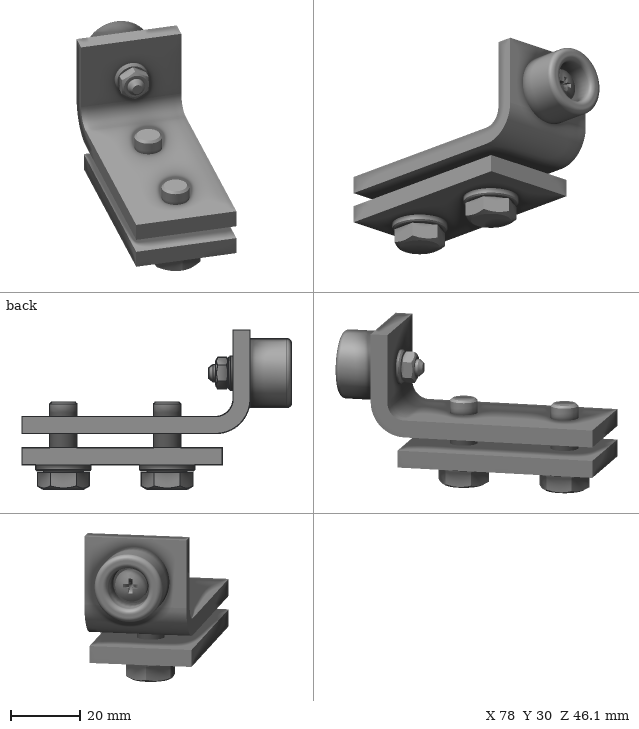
import cadquery as cq
import math

plate_thickness = 5.0
width = 30.0
end_x = 66.0
bracket_height = 30.0
inner_bend_radius = 5.0
outer_bend_radius = inner_bend_radius + plate_thickness
clamp_plate_length = 58.0
plate_gap = 4.0
clamp_bottom_z = -plate_gap - plate_thickness

bolt_diameter = 8.0
bolt_length = 20.0
bolt_end_chamfer = 0.65
bolt_pitch = 30.0
bolt_end_distance = 12.0
bolt_positions = [end_x - bolt_end_distance - bolt_pitch, end_x - bolt_end_distance]
bolt_head_height = 5.3
bolt_across_flats = 13.0
bearing_face_diameter = 11.6
bearing_face_height = 0.4
bolt_washer_diameter = 16.0
bolt_washer_thickness = 1.8
bolt_washer_chamfer = 0.4
bolt_seat_z = clamp_bottom_z - bolt_washer_thickness

axis_z = 17.5
buffer_diameter = 20.0
buffer_length = 12.0
buffer_rim_radius = 1.5
buffer_bore_diameter = 12.0
buffer_seat_diameter = 11.2
buffer_base = 4.7

screw_diameter = 5.0
screw_end_x = 12.0
screw_tip_length = 1.2
screw_tip_diameter = 3.0
screw_head_diameter = 9.5
screw_head_rim = 1.7
screw_head_dome = 1.3
recess_span = 4.75
recess_slot_width = 1.2
recess_depth = 2.0
recess_core_diameter = 1.7
nut_across_flats = 8.0
nut_face_diameter = 7.0
nut_thickness = 3.8
nut_washer_diameter = 10.0
nut_washer_thickness = 1.2
nut_washer_chamfer = 0.5
hex_chamfer_angle = 30.0


def hex_blank(across_flats, height):
    """Hexagonal prism standing on Z = 0 with two corners on the X axis."""
    across_corners = across_flats / math.cos(math.radians(30))
    return cq.Workplane("XY").polygon(6, across_corners).extrude(height)


def corner_cone(across_flats, height, face_diameter):
    """Turned envelope that bevels the corners of a hexagon at its top face, Z = height."""
    corner_radius = across_flats / math.cos(math.radians(30)) / 2
    face_radius = face_diameter / 2
    bevel = (corner_radius - face_radius) * math.tan(math.radians(hex_chamfer_angle))
    profile = [(0, 0), (corner_radius, 0), (corner_radius, height - bevel), (face_radius, height), (0, height)]
    return cq.Workplane("XZ").polyline(profile).close().revolve(360, (0, 0), (0, 1))


def make_washer(outer_diameter, hole_diameter, thickness, chamfer):
    """Washer standing on Z = 0, bevelled round its top edge."""
    disc = cq.Workplane("XY").circle(outer_diameter / 2).extrude(thickness)
    disc = disc.faces(">Z").edges().chamfer(chamfer)
    return disc.cut(cq.Workplane("XY").circle(hole_diameter / 2).extrude(thickness))


def onto_buffer_axis(body, x):
    """Turn a body built along Z so that it points along +X on the buffer axis."""
    return body.rotate((0, 0, 0), (0, 1, 0), 90).translate((x, 0, axis_z))


def bolt_holes():
    """Cutters for both bolts through the stacked plates."""
    return (
        cq.Workplane("XY", origin=(0, 0, clamp_bottom_z))
        .pushPoints([(x, 0) for x in bolt_positions])
        .circle(bolt_diameter / 2)
        .extrude(plate_thickness - clamp_bottom_z)
    )


def make_bracket():
    """Bent L-shaped plate with two bolt holes and one screw hole."""
    body = (
        cq.Workplane("XZ")
        .moveTo(end_x, 0)
        .lineTo(outer_bend_radius, 0)
        .radiusArc((0, outer_bend_radius), outer_bend_radius)
        .lineTo(0, bracket_height)
        .lineTo(plate_thickness, bracket_height)
        .lineTo(plate_thickness, outer_bend_radius)
        .radiusArc((outer_bend_radius, plate_thickness), -inner_bend_radius)
        .lineTo(end_x, plate_thickness)
        .close()
        .extrude(width / 2, both=True)
    )
    screw_hole = cq.Workplane("XY").circle(screw_diameter / 2).extrude(plate_thickness)
    return body.cut(bolt_holes()).cut(onto_buffer_axis(screw_hole, 0))


def make_clamp_plate():
    """Flat plate below the bracket."""
    body = cq.Workplane("XY").box(clamp_plate_length, width, plate_thickness)
    body = body.translate((end_x - clamp_plate_length / 2, 0, clamp_bottom_z + plate_thickness / 2))
    return body.cut(bolt_holes())


def make_bolt(x):
    """Hexagon bolt pointing up, with a round bearing face under its head."""
    hex_height = bolt_head_height - bearing_face_height
    head = hex_blank(bolt_across_flats, hex_height)
    head = head.intersect(corner_cone(bolt_across_flats, hex_height, bearing_face_diameter))
    head = head.rotate((0, 0, 0), (1, 0, 0), 180).translate((0, 0, -bearing_face_height))
    bearing_face = cq.Workplane("XY").circle(bearing_face_diameter / 2).extrude(-bearing_face_height)
    shank = cq.Workplane("XY").circle(bolt_diameter / 2).extrude(bolt_length)
    shank = shank.faces(">Z").edges().chamfer(bolt_end_chamfer)
    return head.union(bearing_face).union(shank).translate((x, 0, bolt_seat_z))


def make_bolt_washer(x):
    """Washer between bolt head and clamp plate, bevelled on the head side."""
    washer = make_washer(bolt_washer_diameter, bolt_diameter, bolt_washer_thickness, bolt_washer_chamfer)
    return washer.rotate((0, 0, 0), (1, 0, 0), 180).translate((x, 0, clamp_bottom_z))


def make_buffer():
    """Cup with a rounded rim, a tapered bore and a screw hole through its base."""
    outer = buffer_diameter / 2
    bore = buffer_bore_diameter / 2
    rim_start = buffer_length - buffer_rim_radius
    body = (
        cq.Workplane("XZ")
        .moveTo(screw_diameter / 2, 0)
        .lineTo(outer, 0)
        .lineTo(outer, rim_start)
        .radiusArc((outer - buffer_rim_radius, buffer_length), -buffer_rim_radius)
        .lineTo(bore + buffer_rim_radius, buffer_length)
        .radiusArc((bore, rim_start), -buffer_rim_radius)
        .lineTo(buffer_seat_diameter / 2, buffer_base)
        .lineTo(screw_diameter / 2, buffer_base)
        .close()
        .revolve(360, (0, 0), (0, 1))
    )
    return body.rotate((0, 0, 0), (0, 1, 0), -90).translate((0, 0, axis_z))


def cross_recess(top):
    """Cross-shaped driver recess with sloping ends, opening at height top above the seat."""
    half_span = recess_span / 2
    core_radius = recess_core_diameter / 2
    floor = top - recess_depth
    slot_profile = [(-half_span, top), (-core_radius, floor), (core_radius, floor), (half_span, top)]
    slot = cq.Workplane("XZ").polyline(slot_profile).close().extrude(recess_slot_width / 2, both=True)
    tip_profile = [(0, top), (core_radius, top), (core_radius, floor), (0, floor - core_radius)]
    core = cq.Workplane("XZ").polyline(tip_profile).close().revolve(360, (0, 0), (0, 1))
    return slot.union(slot.rotate((0, 0, 0), (0, 0, 1), 90)).union(core)


def make_screw():
    """Domed screw seated on the buffer base, its coned tip beyond the nut."""
    head_radius = screw_head_diameter / 2
    shank_radius = screw_diameter / 2
    shank_end = -(buffer_base + screw_end_x)
    head_top = screw_head_rim + screw_head_dome
    dome_radius = (head_radius**2 + screw_head_dome**2) / (2 * screw_head_dome)
    body = (
        cq.Workplane("XZ")
        .moveTo(0, shank_end)
        .lineTo(screw_tip_diameter / 2, shank_end)
        .lineTo(shank_radius, shank_end + screw_tip_length)
        .lineTo(shank_radius, 0)
        .lineTo(head_radius, 0)
        .lineTo(head_radius, screw_head_rim)
        .radiusArc((0, head_top), -dome_radius)
        .close()
        .revolve(360, (0, 0), (0, 1))
    )
    body = body.cut(cross_recess(head_top))
    return body.rotate((0, 0, 0), (0, 1, 0), -90).translate((-buffer_base, 0, axis_z))


def make_nut():
    """Hexagon nut with bevelled corners on both faces and corners pointing up and down."""
    envelope = corner_cone(nut_across_flats, nut_thickness, nut_face_diameter)
    flipped = envelope.rotate((0, 0, 0), (1, 0, 0), 180).translate((0, 0, nut_thickness))
    nut = hex_blank(nut_across_flats, nut_thickness).intersect(envelope).intersect(flipped)
    nut = nut.cut(cq.Workplane("XY").circle(screw_diameter / 2).extrude(nut_thickness))
    return onto_buffer_axis(nut, plate_thickness + nut_washer_thickness)


def make_nut_washer():
    """Washer between bracket and nut, bevelled on the nut side."""
    washer = make_washer(nut_washer_diameter, screw_diameter, nut_washer_thickness, nut_washer_chamfer)
    return onto_buffer_axis(washer, plate_thickness)


bracket = make_bracket()
clamp_plate = make_clamp_plate()
bolts = [make_bolt(x) for x in bolt_positions]
bolt_washers = [make_bolt_washer(x) for x in bolt_positions]
buffer = make_buffer()
screw = make_screw()
nut = make_nut()
nut_washer = make_nut_washer()

result = cq.Compound.makeCompound([
    bracket.val(),
    clamp_plate.val(),
    *[bolt.val() for bolt in bolts],
    *[washer.val() for washer in bolt_washers],
    buffer.val(),
    screw.val(),
    nut.val(),
    nut_washer.val(),
])